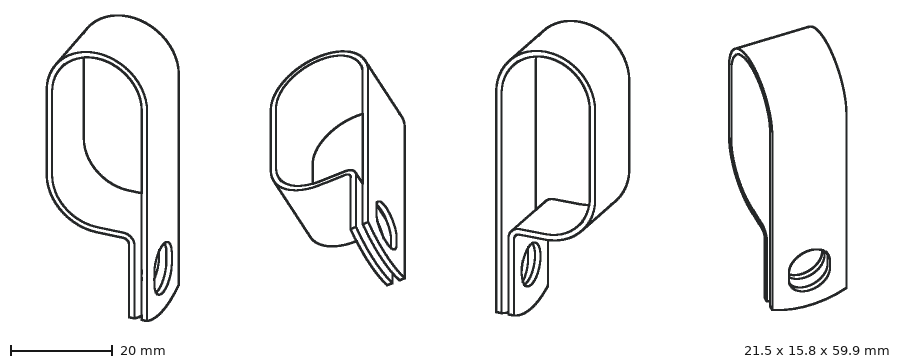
import cadquery as cq
import math

width = 21.5
depth = 15.85
height = 59.85

thickness = 1.2
outer_radius = width / 2
inner_radius = outer_radius - thickness
straight_length = 19.0
upper_center_z = height - outer_radius
lower_center_z = upper_center_z - straight_length

leg_gap = 1.5
bend_inner_radius = 1.2
bend_outer_radius = bend_inner_radius + thickness

end_rise = 1.75
hole_diameter = 8.75
hole_z = 9.5
slot_length = 10.8


def make_strip():
    """Bent strip profile in XZ, extruded symmetrically about Y = 0."""
    short_leg_right = inner_radius - leg_gap
    short_leg_left = short_leg_right - thickness
    bend_x = short_leg_right - bend_outer_radius
    shelf_bottom = lower_center_z - outer_radius
    shelf_top = shelf_bottom + thickness
    bend_z = shelf_top - bend_outer_radius
    diagonal = math.sqrt(0.5)

    def on_bend(radius):
        return (bend_x + radius * diagonal, bend_z + radius * diagonal)

    def on_lower_arc(radius):
        return (-radius * diagonal, lower_center_z - radius * diagonal)

    return (
        cq.Workplane("XZ")
        .moveTo(outer_radius, 0)
        .lineTo(outer_radius, upper_center_z)
        .threePointArc((0, height), (-outer_radius, upper_center_z))
        .lineTo(-outer_radius, lower_center_z)
        .threePointArc(on_lower_arc(outer_radius), (0, shelf_bottom))
        .lineTo(bend_x, shelf_bottom)
        .threePointArc(on_bend(bend_inner_radius), (short_leg_left, bend_z))
        .lineTo(short_leg_left, 0)
        .lineTo(short_leg_right, 0)
        .lineTo(short_leg_right, bend_z)
        .threePointArc(on_bend(bend_outer_radius), (bend_x, shelf_top))
        .lineTo(0, shelf_top)
        .threePointArc(on_lower_arc(inner_radius), (-inner_radius, lower_center_z))
        .lineTo(-inner_radius, upper_center_z)
        .threePointArc((0, height - thickness), (inner_radius, upper_center_z))
        .lineTo(inner_radius, 0)
        .close()
        .extrude(depth / 2, both=True)
    )


def make_side_outline():
    """Block with an arched lower end that rounds both legs."""
    half_depth = depth / 2
    return (
        cq.Workplane("YZ")
        .moveTo(-half_depth, height)
        .lineTo(-half_depth, end_rise)
        .threePointArc((0, 0), (half_depth, end_rise))
        .lineTo(half_depth, height)
        .close()
        .extrude(outer_radius, both=True)
    )


def make_round_hole():
    """Cylinder along X through the short leg, ending inside the gap."""
    return (
        cq.Workplane("YZ")
        .center(0, hole_z)
        .circle(hole_diameter / 2)
        .extrude(inner_radius - leg_gap / 2)
    )


def make_slot():
    """Upright round-ended slot along X through the long leg, starting inside the gap."""
    return (
        cq.Workplane("YZ", origin=(inner_radius - leg_gap / 2, 0, hole_z))
        .slot2D(slot_length, hole_diameter, angle=90)
        .extrude(thickness + leg_gap)
    )


strip = make_strip().intersect(make_side_outline())
result = strip.cut(make_round_hole()).cut(make_slot())